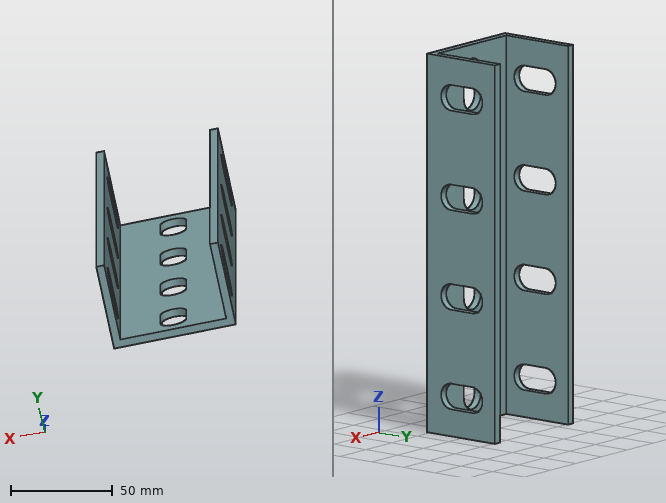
import cadquery as cq

width = 61.0
depth = 43.0
length = 190.0
wall = 4.0

slot_length = 26.0
slot_width = 13.0
slot_count = 4
slot_pitch = 50.0
flange_slot_y = 22.0


def channel():
    outer = cq.Workplane("XY").box(width, depth, length, centered=(True, False, False))
    inner = (
        cq.Workplane("XY")
        .box(width - 2 * wall, depth - wall, length, centered=(True, False, False))
        .translate((0, wall, 0))
    )
    return outer.cut(inner)


def web_slot(z):
    """Upright slot through the web."""
    return (
        cq.Workplane("XZ", origin=(0, wall, z))
        .slot2D(slot_length, slot_width, 90)
        .extrude(wall)
    )


def flange_slots(z):
    """Slot lying along Y, through both flanges."""
    return (
        cq.Workplane("YZ", origin=(0, flange_slot_y, z))
        .slot2D(slot_length, slot_width)
        .extrude(width / 2, both=True)
    )


result = channel()
for i in range(slot_count):
    slot_z = length / 2 + (i - (slot_count - 1) / 2) * slot_pitch
    result = result.cut(web_slot(slot_z)).cut(flange_slots(slot_z))